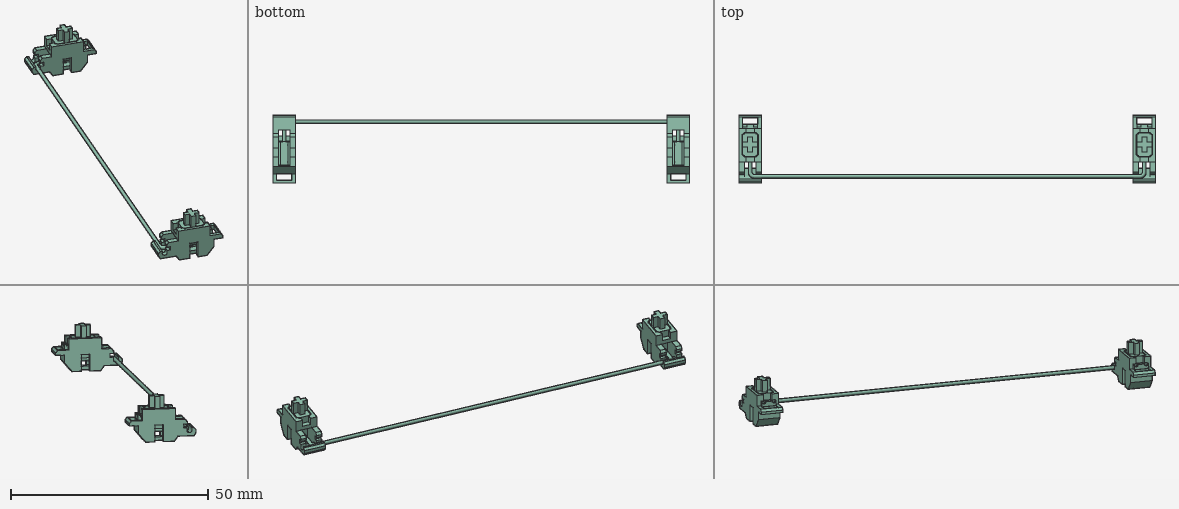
import cadquery as cq

overall_length = 105.8
housing_width = 5.8
housing_center_x = (overall_length - housing_width) / 2
cut_margin = 1.1

wire_diameter = 1.0
wire_radius = wire_diameter / 2
wire_bend_radius = 1.1
leg_end_y = 11.2

groove_width = 1.3
groove_front_y = 1.1
groove_bottom_z = 2.1
wire_y = groove_front_y + groove_width / 2
wire_z = groove_bottom_z + wire_radius

depth = 17.3
housing_top_z = 8.5
block_front_y = 5.3
block_back_y = 13.9
flange_bottom_z = 4.3
flange_top_z = 5.6
flange_chamfer_z = 5.0
flange_front_y = 2.2
front_chamfer = 0.5
back_chamfer = 0.5
lower_back_y = 14.9
back_slope_z = 2.3
bottom_back_y = 13.0
bottom_front_y = 5.6
arm_root_y = 4.7
arm_bottom_z = 1.3
ledge_y = 3.2
ledge_z = 3.4
hook_chamfer = 0.5
hook_face_bottom_z = 2.0
hook_face_top_z = 2.9

stem_y = 9.7
bore_width = 4.2
bore_depth = 6.1
bore_chamfer = 0.6
stem_width = 3.8
stem_depth = 6.0
stem_chamfer = 0.5
stem_block_bottom_z = flange_top_z
post_width = 1.9
cross_size = stem_width
cross_arm = 1.3
cross_top_z = 11.5
stem_slot_depth = 4.2
stem_slot_bottom_z = 1.0

notch_width = 2.2
notch_bottom_z = 6.7
channel_width = 2.9
channel_floor_end_y = 3.8
window_depth = 2.2
window_y = 9.5
window_top_z = 4.3
flange_hole_width = 3.8
flange_hole_back_y = 16.5

tab_width = flange_hole_width
tab_back_y = 14.8
tab_top_z = 6.9
scoop_radius = 0.5
scoop_x = 1.4
scoop_length = 0.6


def box(width, y_front, y_back, z_bottom, z_top):
    """Box centred on X = 0 and spanning the given Y and Z ranges."""
    return cq.Workplane("XY").box(
        width, y_back - y_front, z_top - z_bottom, centered=(True, False, False)
    ).translate((0, y_front, z_bottom))


def chamfered_block(width, block_depth, corner, z_bottom, z_top):
    """Block around the stem axis with chamfered vertical edges."""
    half_depth = block_depth / 2
    block = box(width, stem_y - half_depth, stem_y + half_depth, z_bottom, z_top)
    return block.edges("|Z").chamfer(corner)


def housing_blank():
    """Side outline of the housing, extruded across its width."""
    outline = [
        (block_front_y, housing_top_z),
        (block_back_y, housing_top_z),
        (block_back_y, flange_top_z),
        (depth - back_chamfer, flange_top_z),
        (depth, flange_chamfer_z),
        (depth, flange_bottom_z),
        (lower_back_y, flange_bottom_z),
        (lower_back_y, back_slope_z),
        (bottom_back_y, 0),
        (bottom_front_y, 0),
        (arm_root_y, arm_bottom_z),
        (hook_chamfer, arm_bottom_z),
        (0, hook_face_bottom_z),
        (0, hook_face_top_z),
        (hook_chamfer, ledge_z),
        (ledge_y, ledge_z),
        (ledge_y, flange_bottom_z),
        (flange_front_y, flange_bottom_z),
        (flange_front_y, flange_chamfer_z),
        (flange_front_y + front_chamfer, flange_top_z),
        (block_front_y, flange_top_z),
    ]
    return cq.Workplane("YZ").polyline(outline).close().extrude(housing_width / 2, both=True)


def wire_groove():
    """Round-bottomed groove across the front arm, open at its top."""
    radius = groove_width / 2
    axis_y = groove_front_y + radius
    axis_z = groove_bottom_z + radius
    opening = box(housing_width, groove_front_y, groove_front_y + groove_width, axis_z, ledge_z)
    bottom = cq.Workplane("YZ").center(axis_y, axis_z).circle(radius).extrude(housing_width / 2, both=True)
    return opening.union(bottom)


def leg_channel():
    """Slot for the wire's leg and the stem's post: it has a floor at the front and none further back."""
    over_floor = box(channel_width, wire_y, channel_floor_end_y, groove_bottom_z, flange_top_z)
    open_below = box(
        channel_width, channel_floor_end_y, stem_y + bore_depth / 2, -cut_margin, stem_block_bottom_z
    )
    return over_floor.union(open_below)


def latch_tab():
    """Tab on the back flange with two round scoops that start at its back face."""
    tab = box(tab_width, block_back_y, tab_back_y, flange_top_z, tab_top_z)
    scoops = (
        cq.Workplane("XZ", origin=(0, tab_back_y, tab_top_z))
        .pushPoints([(-scoop_x, 0), (scoop_x, 0)])
        .circle(scoop_radius)
        .extrude(scoop_length)
    )
    return tab.cut(scoops)


def make_housing():
    bore = chamfered_block(bore_width, bore_depth, bore_chamfer, stem_block_bottom_z, housing_top_z)
    notch = box(notch_width, block_front_y, block_back_y, notch_bottom_z, housing_top_z)
    window = box(
        housing_width, window_y - window_depth / 2, window_y + window_depth / 2, -cut_margin, window_top_z
    )
    flange_hole = box(
        flange_hole_width, lower_back_y, flange_hole_back_y, flange_bottom_z, flange_top_z
    )
    housing = housing_blank().union(latch_tab())
    for opening in (bore, notch, window, flange_hole, wire_groove(), leg_channel()):
        housing = housing.cut(opening)
    return housing


def make_stem():
    """Key stem: a cross on a block, and a slotted post that the wire's leg enters."""
    block = chamfered_block(stem_width, stem_depth, stem_chamfer, stem_block_bottom_z, housing_top_z)
    post = box(post_width, stem_y - stem_depth / 2, stem_y + stem_depth / 2, 0, stem_block_bottom_z)
    slot = box(
        post_width,
        stem_y - stem_slot_depth / 2,
        stem_y + stem_slot_depth / 2,
        stem_slot_bottom_z,
        wire_z + wire_radius,
    )
    leg_hole = (
        cq.Workplane("XZ", origin=(0, stem_y, wire_z)).circle(wire_radius).extrude(stem_depth)
    )
    cross = (
        cq.Workplane("XY", origin=(0, stem_y, housing_top_z))
        .rect(cross_size, cross_arm)
        .extrude(cross_top_z - housing_top_z)
        .union(
            cq.Workplane("XY", origin=(0, stem_y, housing_top_z))
            .rect(cross_arm, cross_size)
            .extrude(cross_top_z - housing_top_z)
        )
    )
    return block.union(post).union(cross).cut(slot).cut(leg_hole)


def make_wire():
    """Long bar with a leg bent back at each end."""
    bend_start_x = housing_center_x - wire_bend_radius
    bend_end_y = wire_y + wire_bend_radius
    path = (
        cq.Workplane("XY", origin=(0, 0, wire_z))
        .moveTo(-housing_center_x, leg_end_y)
        .lineTo(-housing_center_x, bend_end_y)
        .radiusArc((-bend_start_x, wire_y), -wire_bend_radius)
        .lineTo(bend_start_x, wire_y)
        .radiusArc((housing_center_x, bend_end_y), -wire_bend_radius)
        .lineTo(housing_center_x, leg_end_y)
    )
    section = cq.Workplane("XZ", origin=(-housing_center_x, leg_end_y, wire_z)).circle(wire_radius)
    return section.sweep(path)


wire = make_wire()
bodies = [wire.val()]
for center_x in (-housing_center_x, housing_center_x):
    housing = make_housing().translate((center_x, 0, 0))
    stem = make_stem().translate((center_x, 0, 0))
    bodies.append(housing.val())
    bodies.append(stem.val())

result = cq.Compound.makeCompound(bodies)